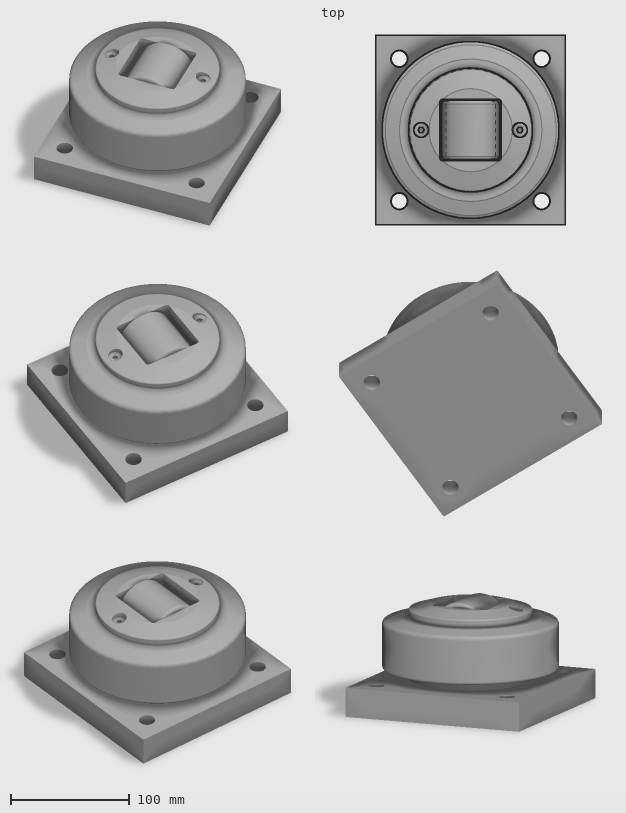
import cadquery as cq

plate_side = 160
plate_height = 25.0
mount_hole_diameter = 13.8
mount_hole_spacing = 120

hub_diameter = 103.0
roller_diameter = 149.1
roller_bottom = 33.8
roller_shoulder = 74.7
roller_top = 78.9
roller_face_diameter = 120
roller_edge_radius = 2.5
roller_shoulder_radius = 3.5
cap_diameter = 104.5
cap_bottom = 79.8
cap_shoulder = 85.3
cap_top = 90.2
cap_face_diameter = 70.0
cap_edge_radius = 1.3

overall_height = 94.0
side_roller_diameter = 49.0
side_roller_length = 50.0
side_roller_edge_radius = 2.9
side_roller_axis = overall_height - side_roller_diameter / 2
pocket_side = 51.5
pocket_floor_below_axis = 12.8
pocket_floor = side_roller_axis - pocket_floor_below_axis
pocket_corner_radius = 2.4

screw_spacing = 83.2
screw_recess_diameter = 12.5
screw_head_top = 85.3
socket_corner_diameter = 5.1
socket_depth = 2.4


def domed_disc(diameter, bottom, shoulder, top, face_diameter):
    """Disc with a conical upper face that ends in a flat centre."""
    outline = [
        (0, bottom),
        (diameter / 2, bottom),
        (diameter / 2, shoulder),
        (face_diameter / 2, top),
        (0, top),
    ]
    return cq.Workplane("XZ").polyline(outline).close().revolve(360, (0, 0), (0, 1))


def make_plate():
    return (
        cq.Workplane("XY")
        .rect(plate_side, plate_side)
        .extrude(plate_height)
        .faces(">Z")
        .workplane()
        .rect(mount_hole_spacing, mount_hole_spacing, forConstruction=True)
        .vertices()
        .hole(mount_hole_diameter)
    )


def make_main_roller():
    roller = domed_disc(roller_diameter, roller_bottom, roller_shoulder, roller_top, roller_face_diameter)
    roller = roller.edges("<Z").fillet(roller_edge_radius)
    rim = cq.selectors.RadiusNthSelector(-1)
    return roller.edges(rim).edges(">Z").fillet(roller_shoulder_radius)


def make_hub():
    return (
        cq.Workplane("XY")
        .workplane(offset=plate_height)
        .circle(hub_diameter / 2)
        .extrude(cap_bottom - plate_height)
    )


def make_cap():
    cap = domed_disc(cap_diameter, cap_bottom, cap_shoulder, cap_top, cap_face_diameter)
    rim = cq.selectors.RadiusNthSelector(-1)
    return cap.edges(rim).edges(">Z").fillet(cap_edge_radius)


def make_pocket():
    return (
        cq.Workplane("XY")
        .workplane(offset=pocket_floor)
        .rect(pocket_side, pocket_side)
        .extrude(overall_height - pocket_floor)
        .edges("|Z")
        .fillet(pocket_corner_radius)
    )


def make_side_roller():
    return (
        cq.Workplane("XZ", origin=(0, side_roller_length / 2, side_roller_axis))
        .circle(side_roller_diameter / 2)
        .extrude(side_roller_length)
        .edges()
        .fillet(side_roller_edge_radius)
    )


def make_screw_recesses():
    screws = cq.Workplane("XY").workplane(offset=screw_head_top)
    screws = screws.pushPoints([(-screw_spacing / 2, 0), (screw_spacing / 2, 0)])
    recesses = screws.circle(screw_recess_diameter / 2).extrude(cap_top - screw_head_top)
    sockets = screws.polygon(6, socket_corner_diameter).extrude(-socket_depth)
    return recesses.union(sockets)


result = (
    make_plate()
    .union(make_hub())
    .union(make_main_roller())
    .union(make_cap())
    .cut(make_pocket())
    .cut(make_screw_recesses())
    .union(make_side_roller())
)